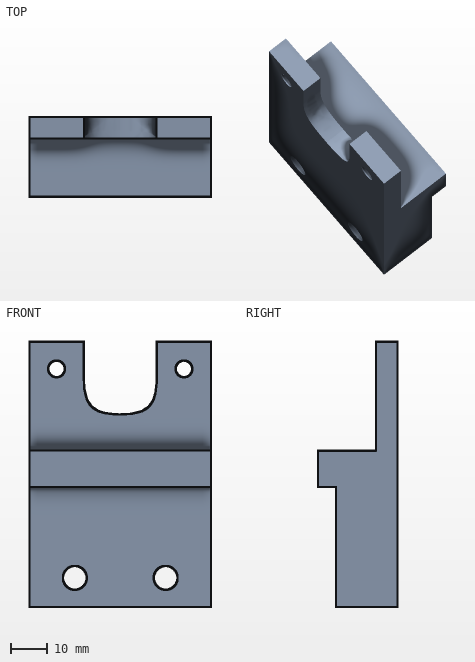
import cadquery as cq

width = 50.0
depth = 22.0
height = 73.0

plate_thickness = 6.0
body_thickness = 17.0
shelf_top = height - 30.0
shelf_height = 10.0
shelf_bottom = shelf_top - shelf_height

slot_width = 20.0
slot_depth = 20.0
slot_straight = 10.0
corner_pull = 7.7

upper_hole_diameter = 4.5
upper_hole_spacing = 35.05
upper_hole_drop = 7.5
lower_hole_diameter = 6.5
lower_hole_spacing = 25.0
lower_hole_height = 8.0


def make_body():
    """Stepped side profile extruded across the full width."""
    profile = [
        (0, 0),
        (-body_thickness, 0),
        (-body_thickness, shelf_bottom),
        (-depth, shelf_bottom),
        (-depth, shelf_top),
        (-plate_thickness, shelf_top),
        (-plate_thickness, height),
        (0, height),
    ]
    return cq.Workplane("YZ").polyline(profile).close().extrude(width / 2, both=True)


def make_slot():
    """Slot cutter whose floor is two mirrored curves tangent to the sides."""
    half = slot_width / 2
    side_end = height - slot_straight
    floor = height - slot_depth
    left_curve = [
        (-half, side_end),
        (-half, side_end - corner_pull),
        (-corner_pull * half / slot_straight, floor),
        (0, floor),
    ]
    right_curve = [(-x, z) for x, z in reversed(left_curve)]
    return (
        cq.Workplane("XZ")
        .moveTo(-half, height)
        .lineTo(-half, side_end)
        .bezier(left_curve)
        .bezier(right_curve)
        .lineTo(half, height)
        .close()
        .extrude(plate_thickness)
    )


def make_hole_pair(diameter, spacing, z):
    """Two cylinders along Y, symmetric about the middle of the part."""
    centres = [(-spacing / 2, z), (spacing / 2, z)]
    return cq.Workplane("XZ").pushPoints(centres).circle(diameter / 2).extrude(depth)


upper_holes = make_hole_pair(upper_hole_diameter, upper_hole_spacing, height - upper_hole_drop)
lower_holes = make_hole_pair(lower_hole_diameter, lower_hole_spacing, lower_hole_height)
result = make_body().cut(make_slot()).cut(upper_holes).cut(lower_holes)